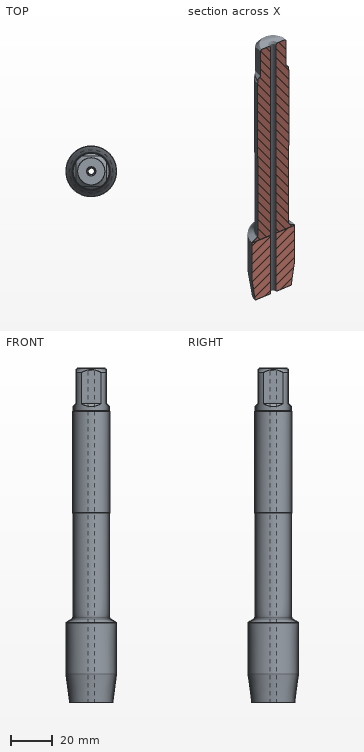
import cadquery as cq
import math

total_length = 160.0
bore_diameter = 3.0

head_diameter = 24.23
head_length = 38.0
rim_height = 0.3
lead_length = 13.7
lead_angle = 7.5

neck_diameter = 17.7
neck_end_height = 90.6
neck_step_height = 0.26
shank_diameter = 18.0
shoulder_slope = 30.0
neck_fillet_radius = 1.0

drive_diameter = 17.28
drive_start_height = 139.6
square_size = 14.5
square_start_height = 143.0
tip_diameter = 13.0
tip_chamfer_height = 2.1
center_mouth_diameter = 4.4
center_angle = 30.0

head_radius = head_diameter / 2
neck_radius = neck_diameter / 2
shank_radius = shank_diameter / 2
drive_radius = drive_diameter / 2
bore_radius = bore_diameter / 2


def revolve_profile(points):
    """Revolve a closed (radius, height) outline around the Z axis."""
    return cq.Workplane("XZ").polyline(points).close().revolve(360, (0, 0, 0), (0, 1, 0))


def make_cutting_head():
    """Cylindrical head with a tapered lead at its lower end and a central bore."""
    lead_radius = head_radius - lead_length * math.tan(math.radians(lead_angle))
    return revolve_profile([
        (bore_radius, 0),
        (lead_radius, 0),
        (head_radius, lead_length),
        (head_radius, head_length),
        (bore_radius, head_length),
    ])


def make_shank_blank():
    """Turned shank: shoulder cone, neck, shank, drive end and central bore."""
    slope = math.radians(shoulder_slope)
    cone_top_height = head_length + rim_height + (head_radius - neck_radius) * math.tan(slope)
    half_turn = (math.pi / 2 - slope) / 2
    fillet_tangent = neck_fillet_radius * math.tan(half_turn)
    fillet_start = (
        neck_radius + fillet_tangent * math.cos(slope),
        cone_top_height - fillet_tangent * math.sin(slope),
    )
    fillet_end = (neck_radius, cone_top_height + fillet_tangent)
    fillet_middle = (
        neck_radius + neck_fillet_radius * (1 - math.cos(half_turn)),
        fillet_end[1] - neck_fillet_radius * math.sin(half_turn),
    )
    mouth_radius = center_mouth_diameter / 2
    mouth_depth = (mouth_radius - bore_radius) / math.tan(math.radians(center_angle))
    shank_chamfer = shank_radius - drive_radius

    return (
        cq.Workplane("XZ")
        .moveTo(bore_radius, head_length)
        .lineTo(head_radius, head_length)
        .lineTo(head_radius, head_length + rim_height)
        .lineTo(*fillet_start)
        .threePointArc(fillet_middle, fillet_end)
        .lineTo(neck_radius, neck_end_height)
        .lineTo(shank_radius, neck_end_height + neck_step_height)
        .lineTo(shank_radius, drive_start_height - shank_chamfer)
        .lineTo(drive_radius, drive_start_height)
        .lineTo(drive_radius, total_length - tip_chamfer_height)
        .lineTo(tip_diameter / 2, total_length)
        .lineTo(mouth_radius, total_length)
        .lineTo(bore_radius, total_length - mouth_depth)
        .close()
        .revolve(360, (0, 0, 0), (0, 1, 0))
    )


def make_flat_cutter():
    """Cutter for the flat on the +X side, with a 45 degree run-out at its lower end."""
    flat_offset = square_size / 2
    run_out = shank_radius - flat_offset
    return (
        cq.Workplane("XZ")
        .polyline([
            (flat_offset, square_start_height),
            (flat_offset, total_length),
            (shank_radius, total_length),
            (shank_radius, square_start_height - run_out),
        ])
        .close()
        .extrude(shank_radius, both=True)
    )


def make_shank():
    """Shank with four flats forming the square drive."""
    body = make_shank_blank()
    for quarter_turn in range(4):
        cutter = make_flat_cutter().rotate((0, 0, 0), (0, 0, 1), 90 * quarter_turn)
        body = body.cut(cutter)
    return body


cutting_head = make_cutting_head()
shank = make_shank()

result = cq.Compound.makeCompound([cutting_head.val(), shank.val()])